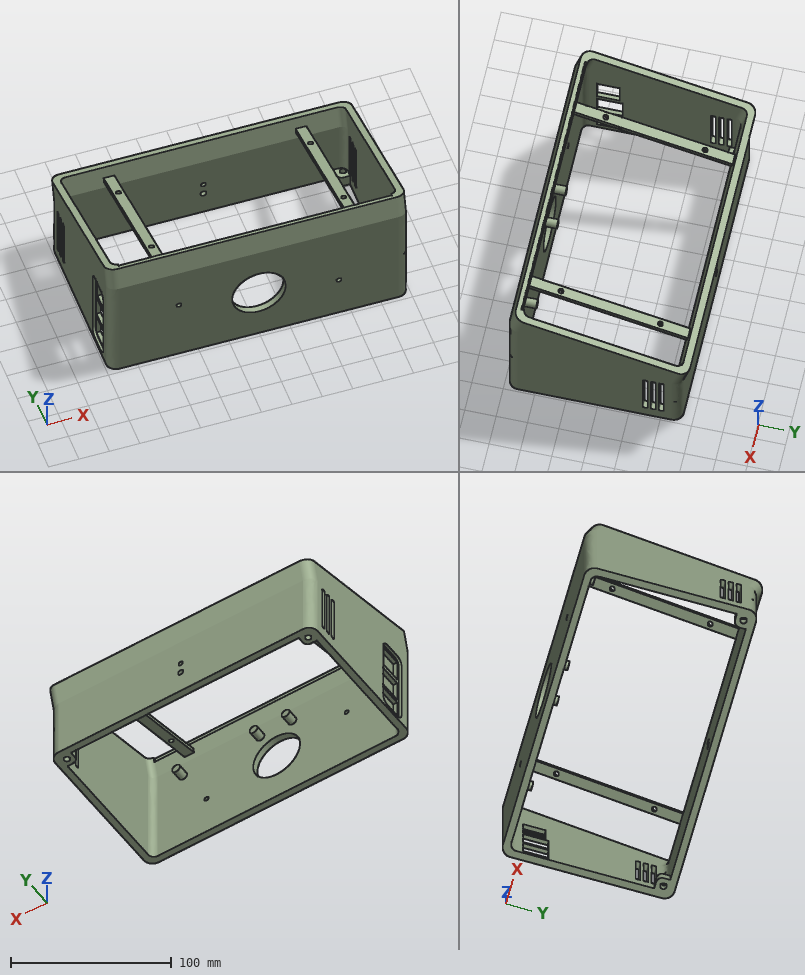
import cadquery as cq
import math


width = 197.0
slope_length = 115.0
tilt = 15.0
front_crease_height = 75.0
collar_height = 15.0
wall = 5.0
outer_radius = 6.7
inner_radius = 4.3

sin_tilt = math.sin(math.radians(tilt))
cos_tilt = math.cos(math.radians(tilt))
rim_normal = cq.Vector(0, sin_tilt, cos_tilt)
depth = slope_length * cos_tilt
inner_half_width = width / 2 - wall
front_inner_y = wall * cos_tilt
back_inner_y = depth - wall * cos_tilt

rim_recess_width = 179.7
rim_recess_depth = 1.5
rim_recess_height = 3.5

rail_width = 7.0
rail_thickness = 3.0
rail_top_below_rim = 7.9
rail_center_x = 1.5
rail_spacing = 126.3
rail_hole_diameter = 3.2
rail_hole_first = 25.6
rail_hole_pitch = 65.6

block_height = 8.0
block_width = 8.0
block_depth = 8.0
block_radius = 3.7
block_hole_diameter = 4.0
block_hole_from_side = 3.0
block_hole_from_back = 3.0

speaker_diameter = 35.0
speaker_height = 37.8
screw_diameter = 3.2
screw_offset_x = 52.6
screw_offset_z = 7.5
pin_diameter = 6.0
pin_end_y = 12.6
pin_height = 62.3
pin_inner_x = 12.0
pin_outer_x = 70.1

back_holes = [(25.5, 3.2), (17.1, 4.0)]

vent_width = 3.0
vent_corner_radius = 1.0
vent_bottom = 9.0
vent_top = 44.0
vent_first_y = 87.9
vent_pitch = 5.1
vent_count = 3

panel_front = 11.6
panel_back = 32.0
panel_bottom = 2.5
panel_top = 58.3
panel_radius = 5.0
panel_recess = 2.0
window_front = 13.5
windows = [(30.1, 3.7, 18.7), (30.1, 21.3, 36.6), (28.2, 40.2, 56.0)]


def tilted_plane(height):
    """Work plane parallel to the rim, its origin above the front crease; local Y runs to the back."""
    origin = (0, height * sin_tilt, front_crease_height + height * cos_tilt)
    return cq.Workplane(cq.Plane(origin=origin, xDir=(1, 0, 0), normal=rim_normal))


def box_between(x_range, y_range, z_range):
    """Box spanning the given (low, high) range on each axis."""
    size = [high - low for low, high in (x_range, y_range, z_range)]
    corner = cq.Vector(x_range[0], y_range[0], z_range[0])
    return cq.Workplane().box(*size, centered=False).translate(corner)


def bent_prism(inset, radius):
    """Rounded rectangle on the tilted plane, swept square to it above and straight down below it."""
    collar = (
        tilted_plane(0)
        .center(0, slope_length / 2)
        .rect(width - 2 * inset, slope_length - 2 * inset)
        .extrude(collar_height)
        .edges(cq.selectors.ParallelDirSelector(rim_normal))
        .fillet(radius)
    )
    seat = collar.faces(cq.selectors.DirectionMinMaxSelector(rim_normal, False)).val()
    drop = cq.Vector(0, 0, -front_crease_height)
    lower = cq.Workplane(cq.Solid.extrudeLinear(seat, drop))
    above_floor = box_between((-width, width), (-depth, 2 * depth), (0, front_crease_height))
    return collar.union(lower.intersect(above_floor))


def cylinder_y(x, z, diameter, y_start, y_end):
    """Cylinder along Y, centred at x and z."""
    return cq.Workplane(cq.Solid.makeCylinder(
        diameter / 2, y_end - y_start, cq.Vector(x, y_start, z), cq.Vector(0, 1, 0)
    ))


def rim_recess():
    """Cutter that thins the rim behind the front wall, leaving a ledge below."""
    return (
        tilted_plane(collar_height - rim_recess_height)
        .center(0, wall - rim_recess_depth + wall / 2)
        .rect(rim_recess_width, wall)
        .extrude(rim_recess_height)
    )


def rail(x):
    """Flat bar from front wall to back wall, parallel to the rim, with two screw holes."""
    body = (
        tilted_plane(collar_height - rail_top_below_rim - rail_thickness)
        .center(x, slope_length / 2)
        .rect(rail_width, slope_length - wall)
        .extrude(rail_thickness)
    )
    holes = (
        tilted_plane(0)
        .pushPoints([(x, rail_hole_first), (x, rail_hole_first + rail_hole_pitch)])
        .circle(rail_hole_diameter / 2)
        .extrude(collar_height)
    )
    return body.cut(holes)


def screw_block(side):
    """Block in a back corner; side is -1 for left and 1 for right."""
    overlap = wall / 2
    block = box_between(
        (inner_half_width - block_width, inner_half_width + overlap),
        (back_inner_y - block_depth, back_inner_y + overlap),
        (0, block_height),
    ).edges("|Z and <X and <Y").fillet(block_radius)
    hole = (
        cq.Workplane()
        .center(inner_half_width - block_hole_from_side, back_inner_y - block_hole_from_back)
        .circle(block_hole_diameter / 2)
        .extrude(block_height)
    )
    block = block.cut(hole)
    return block if side > 0 else block.mirror("YZ")


def vent_slot(y):
    """Upright slot cutter through both side walls."""
    return box_between(
        (-width, width), (y - vent_width / 2, y + vent_width / 2), (vent_bottom, vent_top)
    ).edges("|X").fillet(vent_corner_radius)


def connector_panel():
    """Cutter for a shallow rounded recess with three windows through its floor."""
    left = -width / 2
    cutter = box_between(
        (left, left + panel_recess), (panel_front, panel_back), (panel_bottom, panel_top)
    ).edges("|X").fillet(panel_radius)
    for back, bottom, top in windows:
        cutter = cutter.union(box_between((left, left + wall), (window_front, back), (bottom, top)))
    return cutter


shell = bent_prism(0, outer_radius).cut(bent_prism(wall, inner_radius))
shell = shell.cut(rim_recess())

for side in (-1, 1):
    shell = shell.union(rail(rail_center_x + side * rail_spacing / 2))
    shell = shell.union(screw_block(side))
    for pin_x in (pin_inner_x, pin_outer_x):
        shell = shell.union(cylinder_y(side * pin_x, pin_height, pin_diameter, wall / 2, pin_end_y))
    screw_height = speaker_height - side * screw_offset_z
    shell = shell.cut(cylinder_y(side * screw_offset_x, screw_height, screw_diameter, 0, front_inner_y))

shell = shell.cut(cylinder_y(0, speaker_height, speaker_diameter, 0, front_inner_y))
for height, diameter in back_holes:
    shell = shell.cut(cylinder_y(0, height, diameter, back_inner_y, depth))
for index in range(vent_count):
    shell = shell.cut(vent_slot(vent_first_y + index * vent_pitch))

result = shell.cut(connector_panel())